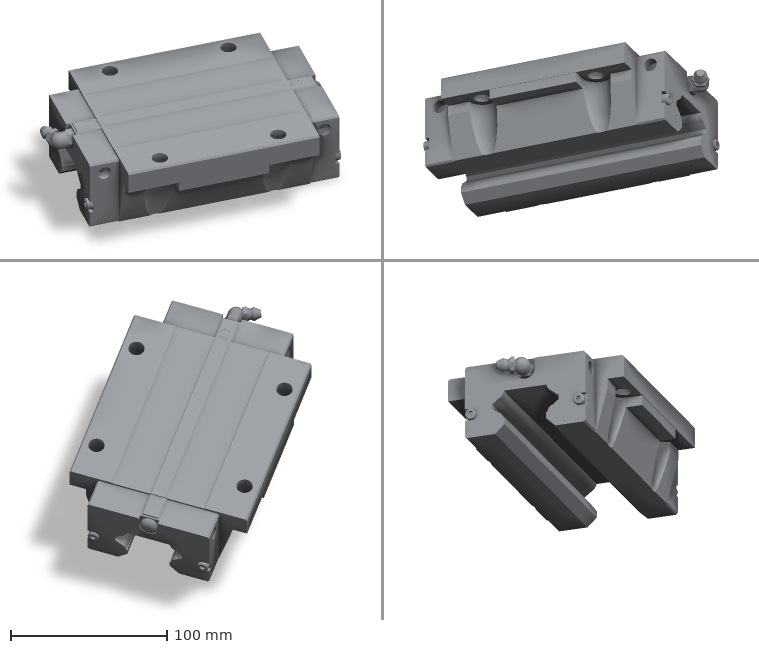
import cadquery as cq
import math

OVERALL_LENGTH = 185.5
WIDTH = 120.0
HEIGHT = 50.8
END_REACH = 85.9
HEX_SIDES = 6

CARRIAGE_LENGTH = 129.1
FLANGE_UNDERSIDE = 35.8
FLANGE_CHAMFER = 1.1
WALL_HALF_WIDTH = 48.8
FOOT_HALF_WIDTH = 41.0
SLOPE_TOP = 29.1
RELIEF_DEPTH = 0.46
RELIEF_SLOPE = 0.5
SIDE_LAND_INNER = 31.5
CENTRE_LAND_HALF_WIDTH = 4.8
PAD_HALF_WIDTH = 59.7

OPENING_MOUTH = (20.5, 0)
LIP_BOTTOM = (14.3, 6.0)
LIP_TOP = (14.3, 10.2)
LOWER_ROUND = ((15.0, 10.2), (16.1, 13.0), (18.7, 14.8))
GROOVE_BOTTOM = (22.6, 17.8)
GROOVE_TOP = (22.6, 21.0)
UPPER_ROUND = ((18.4, 24.1), (16.0, 26.0), (14.5, SLOPE_TOP))

HOLE_PITCH_X = 100.0
HOLE_PITCH_Y = 80.0
HOLE_DIAMETER = 10.4
SCOOP_RADIUS = 9.6

CAP_WIDTH = 82.2
CAP_TOP = 49.0
CAP_CHAMFER = 1.1
CAP_END = 80.5
PLATE_END = 84.2
POCKET_FLOOR = 81.6
STRIP_TOP = 50.0
STRIP_TOP_HALF_WIDTH = 4.8
STRIP_FOOT_HALF_WIDTH = 6.3
TOP_PORT_RADIUS = 3.9
TOP_PORT_Y = 68.8
TOP_PORT_DEPTH = 0.2
SIDE_PORT_RADIUS = 4.5
SIDE_PORT_Y = 74.2
SIDE_PORT_Z = 40.6
SIDE_PORT_DEPTH = 7.5

BOLT_X = 37.0
BOLT_Z = 16.0
BOLT_HEAD_RADIUS = 3.7
BOLT_HEAD_CHAMFER = 0.5
BOLT_SOCKET_FLATS = 3.3
BOLT_SOCKET_DEPTH = 1.9
BOLT_SLOT_RADIUS = 4.0

FITTING_Z = 42.0
NOTCH_RADIUS = 6.5
PLUG_RADIUS = 6.1
PLUG_ROUND = 4.0
BASE_HEX_CORNERS = 12.6
BASE_HEX_END = 86.3
ELBOW_RADIUS = 5.4
ARM_ANGLE = 23.0
COLLAR_START = 4.6
COLLAR_END = 7.2
COLLAR_HEX_CORNERS = 11.1
SHOULDER_END = 9.3
SHOULDER_RADIUS = 4.5
NECK_RADIUS = 3.5
BULB_MIDDLE = 10.4
BULB_MIDDLE_RADIUS = 4.0
RIM_END = 11.7
RIM_RADIUS = 4.5
TIP_END = 16.1
TIP_RADIUS = 2.5


def bar_along_y(profile, y_start, y_end):
    """Extrude an X-Z profile function between two Y positions."""
    sketch = profile(cq.Workplane("XZ", origin=(0, y_start, 0)))
    return sketch.extrude(y_start - y_end)


def box_between(x_range, y_range, z_range):
    sizes = [high - low for low, high in (x_range, y_range, z_range)]
    corner = (x_range[0], y_range[0], z_range[0])
    return cq.Workplane("XY").box(*sizes, centered=False).translate(corner)


def carriage_profile(plane):
    relief = HEIGHT - RELIEF_DEPTH
    half = WIDTH / 2
    right = [
        (CENTRE_LAND_HALF_WIDTH, HEIGHT),
        (CENTRE_LAND_HALF_WIDTH + RELIEF_SLOPE, relief),
        (SIDE_LAND_INNER - RELIEF_SLOPE, relief),
        (SIDE_LAND_INNER, HEIGHT),
        (half - FLANGE_CHAMFER, HEIGHT),
        (half, HEIGHT - FLANGE_CHAMFER),
        (half, FLANGE_UNDERSIDE),
        (WALL_HALF_WIDTH, FLANGE_UNDERSIDE),
        (WALL_HALF_WIDTH, SLOPE_TOP),
        (FOOT_HALF_WIDTH, 0),
    ]
    left = [(-x, z) for x, z in reversed(right)]
    return plane.polyline(right + left).close()


def strip_profile(plane):
    foot, top = STRIP_FOOT_HALF_WIDTH, STRIP_TOP_HALF_WIDTH
    points = [(-foot, CAP_TOP), (-top, STRIP_TOP), (top, STRIP_TOP), (foot, CAP_TOP),
              (foot, CAP_TOP - CAP_CHAMFER), (-foot, CAP_TOP - CAP_CHAMFER)]
    return plane.polyline(points).close()


def half_rail_profile(plane):
    """The +X half of the rail opening: a lip and a groove with rounded shoulders beside them."""
    return (
        plane.lineTo(*OPENING_MOUTH)
        .lineTo(*LIP_BOTTOM)
        .lineTo(*LIP_TOP)
        .lineTo(*LOWER_ROUND[0])
        .threePointArc(*LOWER_ROUND[1:])
        .lineTo(*GROOVE_BOTTOM)
        .lineTo(*GROOVE_TOP)
        .lineTo(*UPPER_ROUND[0])
        .threePointArc(*UPPER_ROUND[1:])
        .lineTo(0, SLOPE_TOP)
        .close()
    )


def make_carriage():
    half_length = CARRIAGE_LENGTH / 2
    block = bar_along_y(carriage_profile, -half_length, half_length)
    pads = box_between(
        (-PAD_HALF_WIDTH, PAD_HALF_WIDTH),
        (-HOLE_PITCH_Y / 2, HOLE_PITCH_Y / 2),
        (SLOPE_TOP, FLANGE_UNDERSIDE),
    )
    holes = cq.Workplane("XY").rarray(HOLE_PITCH_X, HOLE_PITCH_Y, 2, 2)
    scoops = holes.circle(SCOOP_RADIUS).extrude(FLANGE_UNDERSIDE)
    runout_length = (WIDTH - HOLE_PITCH_X) / 2
    runouts = (
        cq.Workplane("XY")
        .rarray(HOLE_PITCH_X + runout_length, HOLE_PITCH_Y, 2, 2)
        .rect(runout_length, 2 * SCOOP_RADIUS)
        .extrude(FLANGE_UNDERSIDE)
    )
    scoops = scoops.union(runouts)
    bores = holes.circle(HOLE_DIAMETER / 2).extrude(HEIGHT)
    return block.union(pads).cut(scoops).cut(bores)


def make_pocket(side, round_centre, radius, runout_centre, runout_size):
    """Pocket in the end plate: a round bottom joined to a straight runout, both in X-Z."""
    start = side * POCKET_FLOOR
    end = side * PLATE_END
    round_part = bar_along_y(lambda plane: plane.center(*round_centre).circle(radius), start, end)
    runout = bar_along_y(lambda plane: plane.center(*runout_centre).rect(*runout_size), start, end)
    return round_part.union(runout)


def make_end(side):
    """Cap and end plate at the +Y end (side = 1) or the -Y end (side = -1)."""
    half_length = CARRIAGE_LENGTH / 2
    half_width = CAP_WIDTH / 2

    def block(start, end):
        return (
            cq.Workplane("XY", origin=(0, side * (start + end) / 2, 0))
            .rect(CAP_WIDTH, end - start)
            .extrude(CAP_TOP)
            .edges("|Y")
            .chamfer(CAP_CHAMFER)
        )

    plate = block(CAP_END, PLATE_END)
    notch_runout = ((0, (FITTING_Z + CAP_TOP) / 2), (2 * NOTCH_RADIUS, CAP_TOP - FITTING_Z))
    plate = plate.cut(make_pocket(side, (0, FITTING_Z), NOTCH_RADIUS, *notch_runout))
    slot_size = (half_width - BOLT_X, 2 * BOLT_SLOT_RADIUS)
    for hand in (-1, 1):
        bolt_centre = (hand * BOLT_X, BOLT_Z)
        slot_centre = (hand * (BOLT_X + half_width) / 2, BOLT_Z)
        plate = plate.cut(make_pocket(side, bolt_centre, BOLT_SLOT_RADIUS, slot_centre, slot_size))

    cap = block(half_length, CAP_END)
    cap = cap.union(bar_along_y(strip_profile, side * half_length, side * CAP_END))
    port = cq.Workplane("XY", origin=(0, side * TOP_PORT_Y, STRIP_TOP))
    cap = cap.cut(port.circle(TOP_PORT_RADIUS).extrude(-TOP_PORT_DEPTH))
    for hand in (-1, 1):
        port = cq.Workplane("YZ", origin=(hand * half_width, side * SIDE_PORT_Y, SIDE_PORT_Z))
        cap = cap.cut(port.circle(SIDE_PORT_RADIUS).extrude(-hand * SIDE_PORT_DEPTH))
    return cap.union(plate, clean=False)


def make_bolt(side, x):
    head = bar_along_y(
        lambda plane: plane.center(x, BOLT_Z).circle(BOLT_HEAD_RADIUS),
        side * POCKET_FLOOR,
        side * END_REACH,
    )
    outer = ">Y" if side > 0 else "<Y"
    head = head.faces(outer).edges().chamfer(BOLT_HEAD_CHAMFER)
    socket_corners = BOLT_SOCKET_FLATS / math.cos(math.pi / HEX_SIDES)
    socket = bar_along_y(
        lambda plane: plane.center(x, BOLT_Z).polygon(HEX_SIDES, socket_corners),
        side * (END_REACH - BOLT_SOCKET_DEPTH),
        side * END_REACH,
    )
    return head.cut(socket)


def make_plug():
    plug = bar_along_y(
        lambda plane: plane.center(0, FITTING_Z).circle(PLUG_RADIUS),
        POCKET_FLOOR,
        END_REACH,
    )
    return plug.faces(">Y").edges().fillet(PLUG_ROUND)


def make_grease_fitting():
    swing = math.radians(ARM_ANGLE)
    rim_reach = RIM_END * math.sin(swing) + RIM_RADIUS * math.cos(swing)
    elbow_y = END_REACH - OVERALL_LENGTH + rim_reach

    base = bar_along_y(
        lambda plane: plane.center(0, FITTING_Z).polygon(HEX_SIDES, BASE_HEX_CORNERS),
        -POCKET_FLOOR,
        -BASE_HEX_END,
    )
    stem = bar_along_y(
        lambda plane: plane.center(0, FITTING_Z).circle(ELBOW_RADIUS),
        -BASE_HEX_END,
        elbow_y,
    )
    elbow_centre = (0, elbow_y, FITTING_Z)
    ball = cq.Workplane("XY", origin=elbow_centre).sphere(ELBOW_RADIUS)

    across_arm = cq.Plane(
        origin=elbow_centre,
        xDir=(-math.sin(swing), math.cos(swing), 0),
        normal=(-math.cos(swing), -math.sin(swing), 0),
    )
    collar = (
        cq.Workplane(across_arm)
        .workplane(offset=COLLAR_START)
        .polygon(HEX_SIDES, COLLAR_HEX_CORNERS)
        .extrude(COLLAR_END - COLLAR_START)
    )
    along_arm = cq.Plane(
        origin=elbow_centre,
        xDir=across_arm.zDir.toTuple(),
        normal=(0, 0, 1),
    )
    nipple = (
        cq.Workplane(along_arm)
        .polyline([
            (0, 0),
            (0, NECK_RADIUS),
            (COLLAR_START, NECK_RADIUS),
            (COLLAR_START, SHOULDER_RADIUS),
            (COLLAR_END, SHOULDER_RADIUS),
            (SHOULDER_END, NECK_RADIUS),
        ])
        .threePointArc((BULB_MIDDLE, BULB_MIDDLE_RADIUS), (RIM_END, RIM_RADIUS))
        .lineTo(TIP_END, TIP_RADIUS)
        .lineTo(TIP_END, 0)
        .close()
        .revolve(360, (0, 0, 0), (1, 0, 0))
    )
    return base.union(stem).union(ball).union(collar).union(nipple)


body = make_carriage()
for end_side in (-1, 1):
    body = body.union(make_end(end_side), clean=False)
    for bolt_x in (-BOLT_X, BOLT_X):
        body = body.union(make_bolt(end_side, bolt_x), clean=False)
body = body.union(make_plug(), clean=False)
body = body.union(make_grease_fitting(), clean=False)

half_opening = bar_along_y(half_rail_profile, -PLATE_END, PLATE_END)
rail_opening = half_opening.union(half_opening.mirror("YZ"))
result = body.cut(rail_opening, clean=False)